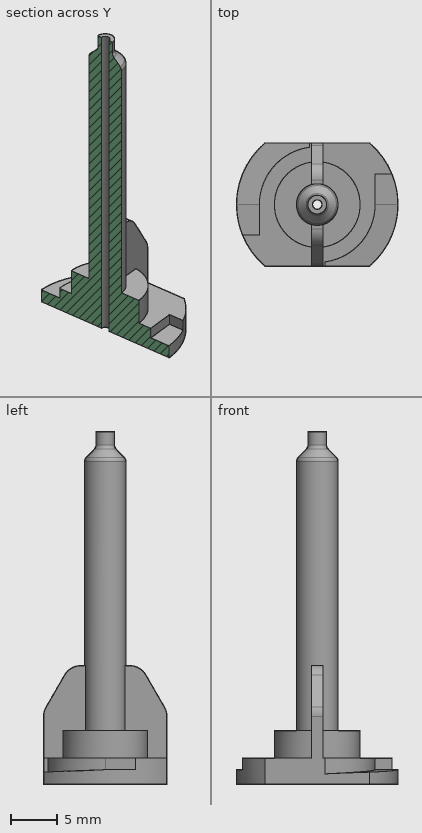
import cadquery as cq
import math

TOTAL_HEIGHT = 38.0
BASE_DIAMETER = 17.4
BASE_WIDTH = 13.3
BASE_HEIGHT = 2.85

BOSS_DIAMETER = 9.25
BOSS_TOP = 5.8
TUBE_DIAMETER = 4.5
TIP_DIAMETER = 2.0
BORE_DIAMETER = 1.0
CONE_TOP = 36.3
SHOULDER_FILLET = 0.6

FIN_THICKNESS = 1.3
FIN_TOP = 12.8
FIN_SHOULDER = 7.85
FIN_LEAN = math.radians(60)
FIN_FILLET = 2.0

RAMP_INNER_RADIUS = 6.25
RAMP_HIGH = 1.6
RAMP_DROP = 0.5
RAMP_END_X = 0.85
STOP_LENGTH = 3.25
CUT_MARGIN = 0.75

BASE_RADIUS = BASE_DIAMETER / 2
CUT_OUTER_RADIUS = BASE_RADIUS + CUT_MARGIN
CUT_WIDTH = CUT_OUTER_RADIUS - RAMP_INNER_RADIUS


def make_base():
    """Disc with two parallel flats."""
    disc = cq.Workplane("XY").circle(BASE_RADIUS).extrude(BASE_HEIGHT)
    flats = cq.Workplane("XY").box(BASE_DIAMETER, BASE_WIDTH, BASE_HEIGHT, centered=(True, True, False))
    return disc.intersect(flats)


def make_ramp_cutter():
    """Quarter-turn helical ramp with its flat stop pocket, on the +X side."""
    cut_height = BASE_HEIGHT - RAMP_HIGH + RAMP_DROP + CUT_MARGIN
    helix = cq.Wire.makeHelix(4 * RAMP_DROP, RAMP_DROP, RAMP_INNER_RADIUS)
    sweep = (
        cq.Workplane("XZ")
        .moveTo(RAMP_INNER_RADIUS, 0)
        .rect(CUT_WIDTH, cut_height, centered=False)
        .sweep(cq.Workplane(obj=helix), isFrenet=True)
        .rotate((0, 0, 0), (0, 0, 1), -90)
        .translate((0, 0, RAMP_HIGH - RAMP_DROP))
    )
    beyond_wall = (
        cq.Workplane("XY")
        .box(CUT_OUTER_RADIUS, 2 * CUT_OUTER_RADIUS, TOTAL_HEIGHT, centered=(False, True, True))
        .translate((RAMP_END_X, 0, 0))
    )
    stop = (
        cq.Workplane("XY", origin=(RAMP_INNER_RADIUS, 0, RAMP_HIGH))
        .rect(CUT_WIDTH, STOP_LENGTH, centered=False)
        .extrude(cut_height)
    )
    return sweep.intersect(beyond_wall).union(stop)


def make_column():
    """Boss, tube, cone and tip turned about Z."""
    boss_radius = BOSS_DIAMETER / 2
    tube_radius = TUBE_DIAMETER / 2
    tip_radius = TIP_DIAMETER / 2
    cone_base = CONE_TOP - (tube_radius - tip_radius)
    boss = cq.Workplane("XY").circle(boss_radius).extrude(BOSS_TOP)
    spindle = (
        cq.Workplane("XZ")
        .polyline([
            (0, 0),
            (tube_radius, 0),
            (tube_radius, cone_base),
            (tip_radius, CONE_TOP),
            (tip_radius, TOTAL_HEIGHT),
            (0, TOTAL_HEIGHT),
        ])
        .close()
        .revolve(360, (0, 0, 0), (0, 1, 0))
    )
    for rim_height in (cone_base, CONE_TOP):
        rim = cq.selectors.NearestToPointSelector((0, 0, rim_height))
        spindle = spindle.edges("%CIRCLE").edges(rim).fillet(SHOULDER_FILLET)
    return boss.union(spindle)


def make_fin():
    """Thin upright plate in the YZ plane with rounded, leaning shoulders."""
    half_width = BASE_WIDTH / 2
    half_top = half_width - (FIN_TOP - FIN_SHOULDER) / math.tan(FIN_LEAN)
    plate = (
        cq.Workplane("YZ")
        .polyline([
            (-half_width, 0),
            (half_width, 0),
            (half_width, FIN_SHOULDER),
            (half_top, FIN_TOP),
            (-half_top, FIN_TOP),
            (-half_width, FIN_SHOULDER),
        ])
        .close()
        .extrude(FIN_THICKNESS / 2, both=True)
    )
    return plate.edges("|X and (not <Z)").fillet(FIN_FILLET)


base = make_base()
for turn in (0, 180):
    base = base.cut(make_ramp_cutter().rotate((0, 0, 0), (0, 0, 1), turn))

bore = cq.Workplane("XY").circle(BORE_DIAMETER / 2).extrude(TOTAL_HEIGHT)
result = base.union(make_column()).union(make_fin()).cut(bore)